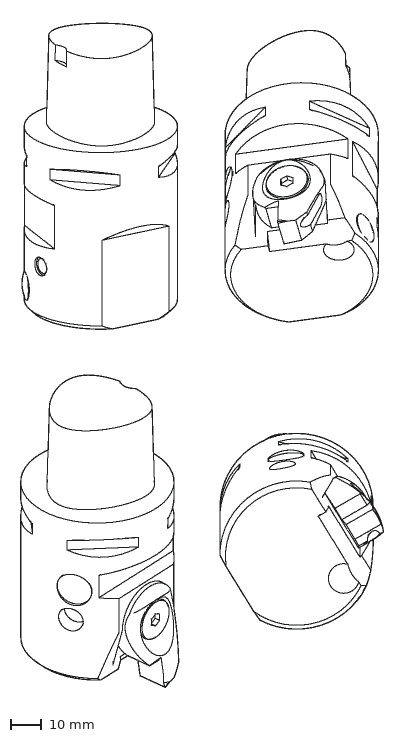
import cadquery as cq
import math


head_radius = 25.01
head_bottom = -62.0
bottom_chamfer = 1.8

shank_length = 30.0
shank_mean_radius = 17.5
shank_lobe = 1.4
taper_per_length = 1 / 40
shank_faces = 6
points_per_face = 7
key_radius = 5.0
key_center_y = -18.9
key_depth = 5.4

slot_z = -9.9
slot_floor = 22.1
slot_floor_height = 3.6
slot_wall_slope = math.tan(math.radians(28))

label_floor = 21.8
label_turn = 7.9
label_top = -20.3
label_bottom = -35.3
label_top_slope = math.tan(math.radians(15))
label_bottom_slope = math.tan(math.radians(15))

relief_x = -16.6
relief_top = -20.3
relief_bottom = -28.9
relief_top_slope = math.tan(math.radians(15))
relief_bottom_slope = math.tan(math.radians(13))
seat_flat_x = -20.9
back_slope = math.tan(math.radians(15))
toe_top = -55.8
toe_slope = math.tan(math.radians(36))
toe_wall_y = 8.1

plain_flat_x = 21.5
plain_flat_top = -30.4

seat_z = -43.1
seat_x = -16.9
seat_radius = 12.0
cap_radius = 11.9
cap_height = 1.7
plug_small_radius = 5.0
plug_large_radius = 6.0
plug_height = 1.1
plug_depth = 2.9
front_plug_turn = 21.7
front_plug_z = -53.8
front_plug_base = 24.9
rear_plug_turn = 22.5
rear_plug_base = 24.0
rear_plug_z = -26.7
bottom_plug_small_at = (-9.4, -14.2)
bottom_plug_large_at = (10.2, 13.6)

rear_hole_radius = 4.27
rear_hole_turn = 20
rear_hole_z = -38.4
rear_hole_depth = 5.8
nozzle_turn = 6.2
nozzle_radius = 3.12
nozzle_cone_radius = 2.5
nozzle_bore_radius = 0.5
nozzle_step_depth = 1.0
nozzle_cone_depth = 1.7
nozzle_bore_depth = 1.9

cutter_radius = 11.9
rim_top = seat_z + cutter_radius
rim_x = -22.5
crown_center_x = -10.6
crown_top = (-25.8, -34.4)
crown_foot = (-30.0, -61.3)
blade_y = 1.9
blade_flank_tilt = math.radians(15)
belly_radius = 19.3
shoulder_outer = (-29.2, -54.7)
shoulder_inner = (-27.8, -56.6)
heel_start = -48.0
heel_slope = math.tan(math.radians(9.5))
corner_top = -61.4
corner_low = (-3.9, -65.3)
tip_bottom = -66.0
tip_x = -30.77
tip_top = -64.4
tip_width = 3.8
tip_root = 1.9
tip_far_inset = 0.2
tip_far_top = -65.4
tip_far_bottom = -65.5
groove_radius = 2.35
groove_start = (-21.7, -50.8)
groove_tilt = 15.5
groove_offset = 0.6
groove_length = 24.0

screw_head_radius = 6.8
screw_face_x = -25.0
screw_head_bottom_x = -19.2
screw_shank_radius = 3.98
screw_end_x = -7.7
hex_diameter = 4.7
hex_depth = 1.9
bore_radius = 7.0
bore_cone_x = -24.4

overrun = 1.0
big = 96.0


def prism_xz(points, y_from, y_to):
    """A prism along Y with the given outline of (x, z) points."""
    prism = cq.Workplane("XZ", origin=(0, y_to, 0)).polyline(points).close()
    return prism.extrude(y_to - y_from)


def radial_plane(turn, distance, z):
    """A plane square to the outward direction `turn` degrees round from +X."""
    angle = math.radians(turn)
    outward = (math.cos(angle), math.sin(angle), 0)
    origin = (distance * outward[0], distance * outward[1], z)
    tangent = (-outward[1], outward[0], 0)
    return cq.Plane(origin=origin, xDir=tangent, normal=outward)


def domed_plug(plane, radius, height, depth):
    """A round plug set `depth` below the plane, with a spherical cap above it."""
    plug = cq.Workplane("XZ").moveTo(0, -depth).lineTo(radius, -depth).lineTo(radius, 0)
    sphere_radius = (radius ** 2 + height ** 2) / (2 * height)
    middle = radius / 2
    middle_height = height - sphere_radius + math.sqrt(sphere_radius ** 2 - middle ** 2)
    plug = plug.threePointArc((middle, middle_height), (0, height)).close()
    return plug.revolve(360, (0, 0, 0), (0, 1, 0)).val().moved(cq.Location(plane))


def shank_wire(mean_radius, z):
    """The three-lobed outline with one lobe toward +Y, as one spline per face."""
    def point(t):
        along = (mean_radius * math.cos(t) - shank_lobe * math.cos(2 * t)
                 + shank_lobe / 12 * math.cos(4 * t))
        across = (mean_radius * math.sin(t) + shank_lobe * math.sin(2 * t)
                  + shank_lobe / 12 * math.sin(4 * t))
        return cq.Vector(across, -along, z)

    face_angle = 2 * math.pi / shank_faces
    edges = []
    for face in range(shank_faces):
        start = (face + 0.5) * face_angle
        steps = [start + face_angle * i / (points_per_face - 1) for i in range(points_per_face)]
        edges.append(cq.Edge.makeSpline([point(t) for t in steps]))
    return cq.Wire.assembleEdges(edges)


def make_shank():
    top_radius = shank_mean_radius - shank_length * taper_per_length
    lower = shank_wire(shank_mean_radius, 0)
    upper = shank_wire(top_radius, shank_length)
    shank = cq.Workplane(cq.Solid.makeLoft([lower, upper], True))
    key = cq.Workplane(origin=(0, key_center_y, shank_length - key_depth))
    return shank.cut(key.circle(key_radius).extrude(key_depth))


def gripper_slot(turn):
    reach = head_radius - slot_floor + overrun
    half = slot_floor_height / 2
    outer_half = half + reach * slot_wall_slope
    outline = [(slot_floor, -half), (slot_floor + reach, -outer_half),
               (slot_floor + reach, outer_half), (slot_floor, half)]
    slot = prism_xz(outline, -big, big).translate((0, 0, slot_z))
    return slot.rotate((0, 0, 0), (0, 0, 1), turn)


def label_flat():
    reach = head_radius - label_floor + overrun
    outline = [(label_floor, label_top), (label_floor + reach, label_top + reach * label_top_slope),
               (label_floor + reach, label_bottom - reach * label_bottom_slope),
               (label_floor, label_bottom)]
    return prism_xz(outline, -big, big).rotate((0, 0, 0), (0, 0, 1), -90 - label_turn)


def seat_side_cut():
    """Relief groove, seat flat and the slope below it, as one cut right across the -X side."""
    reach = big + relief_x
    flat_step = relief_x - seat_flat_x
    outline = [(-big, relief_top + reach * relief_top_slope), (relief_x, relief_top),
               (relief_x, relief_bottom),
               (seat_flat_x, relief_bottom - flat_step * relief_bottom_slope),
               (seat_flat_x, seat_z),
               (seat_flat_x + (big + seat_z) * back_slope, -big), (-big, -big)]
    return prism_xz(outline, -big, big)


def toe_cut():
    """Steeper slope at the foot of the seat side, ending at an upright wall."""
    toe_x = seat_flat_x + (seat_z - toe_top) * back_slope
    outline = [(toe_x, toe_top), (toe_x + (big + toe_top) * toe_slope, -big), (-big, -big),
               (-big, toe_top)]
    return prism_xz(outline, -big, toe_wall_y)


def plain_side_cut():
    reach = big - plain_flat_x
    outline = [(plain_flat_x, plain_flat_top), (big, plain_flat_top + reach), (big, -big),
               (plain_flat_x, -big)]
    return prism_xz(outline, -big, big)


def cutter_seat():
    """Slot with a round upper end, open at the bottom."""
    plane = cq.Plane(origin=(seat_x, 0, seat_z), xDir=(0, -1, 0), normal=(-1, 0, 0))
    slot = cq.Workplane(plane).moveTo(-seat_radius, -big).lineTo(-seat_radius, 0)
    slot = slot.threePointArc((0, seat_radius), (seat_radius, 0)).lineTo(seat_radius, -big)
    return slot.close().extrude(big)


def nozzle_recess():
    floor = head_radius - nozzle_step_depth
    plane = radial_plane(-90 + nozzle_turn, floor, seat_z)
    mouth = nozzle_step_depth + overrun
    bore_end = nozzle_cone_depth + nozzle_bore_depth
    profile = [(0, mouth), (nozzle_radius, mouth), (nozzle_radius, 0), (nozzle_cone_radius, 0),
               (nozzle_bore_radius, -nozzle_cone_depth),
               (nozzle_bore_radius, -bore_end), (0, -bore_end)]
    recess = cq.Workplane("XZ").polyline(profile).close().revolve(360, (0, 0, 0), (0, 1, 0))
    return recess.val().moved(cq.Location(plane))


def side_plug(turn, distance, z, radius):
    return domed_plug(radial_plane(turn, distance, z), radius, plug_height, plug_depth)


def bottom_plug(center, radius):
    plane = cq.Plane(origin=(*center, head_bottom), xDir=(1, 0, 0), normal=(0, 0, -1))
    return domed_plug(plane, radius, plug_height, plug_depth)


def make_head():
    head = cq.Workplane().circle(head_radius).extrude(head_bottom).faces("<Z").chamfer(bottom_chamfer)
    for quarter in range(4):
        head = head.cut(gripper_slot(45 + 90 * quarter))
    head = head.cut(label_flat()).cut(plain_side_cut())
    head = head.union(bottom_plug(bottom_plug_small_at, plug_small_radius))
    head = head.union(bottom_plug(bottom_plug_large_at, plug_large_radius))
    head = head.cut(seat_side_cut()).cut(toe_cut()).cut(cutter_seat())
    head = head.union(side_plug(-90 - front_plug_turn, front_plug_base, front_plug_z, plug_small_radius))
    rear_recess = radial_plane(90 + rear_plug_turn, rear_plug_base, rear_plug_z)
    head = head.cut(cq.Workplane(rear_recess).circle(plug_large_radius).extrude(big))
    head = head.union(side_plug(90 + rear_plug_turn, rear_plug_base, rear_plug_z, plug_large_radius))
    cap_plane = radial_plane(0, plain_flat_x, seat_z)
    head = head.union(domed_plug(cap_plane, cap_radius, cap_height, plug_depth))
    rear_plane = radial_plane(90 + rear_hole_turn, head_radius - rear_hole_depth, rear_hole_z)
    head = head.cut(cq.Workplane(rear_plane).circle(rear_hole_radius).extrude(big))
    head = head.cut(nozzle_recess())
    head = head.cut(screw_solid())
    return head.union(make_shank())


def about_seat_axis(profile):
    """Revolves (x, radius) points about the axis of the cutter screw, which runs along X."""
    turned = cq.Workplane("XY").polyline(profile).close().revolve(360, (0, 0, 0), (1, 0, 0))
    return turned.translate((0, 0, seat_z))


def cutter_outline():
    """Cutter seen along X: round top, bulged side, stepped shoulder and a blade with a cut corner."""
    tangent_y = -cutter_radius * math.cos(blade_flank_tilt)
    tangent_z = seat_z - cutter_radius * math.sin(blade_flank_tilt)
    corner_y = tangent_y + (tangent_z - corner_top) * math.tan(blade_flank_tilt)
    belly_center_y = cutter_radius - belly_radius
    shoulder_z = shoulder_inner[1]
    belly_end_y = belly_center_y + math.sqrt(belly_radius ** 2 - (shoulder_z - seat_z) ** 2)
    half_drop = (shoulder_z - seat_z) / 2
    belly_middle_y = belly_center_y + math.sqrt(belly_radius ** 2 - half_drop ** 2)
    outline = cq.Workplane("YZ").moveTo(cutter_radius, seat_z)
    outline = outline.threePointArc((0, seat_z + cutter_radius), (-cutter_radius, seat_z))
    round_angle = blade_flank_tilt / 2
    round_middle = (-cutter_radius * math.cos(round_angle),
                    seat_z - cutter_radius * math.sin(round_angle))
    outline = outline.threePointArc(round_middle, (tangent_y, tangent_z))
    outline = outline.lineTo(corner_y, corner_top).lineTo(*corner_low).lineTo(blade_y, tip_bottom)
    outline = outline.lineTo(blade_y, shoulder_z).lineTo(belly_end_y, shoulder_z)
    outline = outline.threePointArc((belly_middle_y, seat_z + half_drop), (cutter_radius, seat_z))
    return outline.close().extrude(-big)


def crown_envelope():
    """Body turned about a vertical axis; its conical skin is the outer face of the cutter."""
    top_radius = crown_center_x - crown_top[0]
    foot_radius = crown_center_x - crown_foot[0]
    crown_rise = rim_top - crown_top[1]
    above_radius = top_radius - crown_rise * (foot_radius - top_radius) / (crown_top[1] - crown_foot[1])
    profile = [(0, rim_top), (above_radius, rim_top), (foot_radius, crown_foot[1]),
               (foot_radius, tip_bottom), (0, tip_bottom)]
    crown = cq.Workplane("XZ").polyline(profile).close().revolve(360, (0, 0, 0), (0, 1, 0))
    return crown.translate((crown_center_x, 0, 0))


def cutting_tip():
    """Pointed wedge on the blade's cutting edge that shrinks away from the edge."""
    root_x = crown_foot[0] + tip_root
    edge_end = [(root_x, tip_top), (crown_foot[0], tip_top), (tip_x, tip_bottom), (root_x, tip_bottom)]
    far_x = crown_foot[0] + tip_far_inset
    far_end = [(root_x, tip_far_top), (far_x, tip_far_top), (far_x, tip_far_bottom),
               (root_x, tip_far_bottom)]

    def section(points, y):
        corners = [cq.Vector(x, y, z) for x, z in points]
        return cq.Wire.makePolygon(corners, close=True)

    return cq.Workplane(cq.Solid.makeLoft([section(edge_end, blade_y),
                                           section(far_end, blade_y - tip_width)], True))


def shoulder_cut():
    outline = [shoulder_outer, shoulder_inner, (shoulder_inner[0], -big), (-big, -big),
               (-big, shoulder_outer[1])]
    return prism_xz(outline, blade_y, big)


def heel_cut():
    """Clearance behind the blade."""
    outline = [(seat_x, heel_start), (seat_x - (big + heel_start) * heel_slope, -big), (seat_x, -big)]
    return prism_xz(outline, -big, big)


def flank_groove():
    """Round-ended chip groove along the tilted flank of the blade."""
    groove = cq.Workplane().circle(groove_radius).extrude(-groove_length)
    groove = groove.union(cq.Workplane().sphere(groove_radius))
    groove = groove.rotate((0, 0, 0), (0, 1, 0), groove_tilt)
    groove = groove.rotate((0, 0, 0), (1, 0, 0), math.degrees(blade_flank_tilt))
    x, z = groove_start
    flank_y = -(cutter_radius - (seat_z - z) * math.sin(blade_flank_tilt)) / math.cos(blade_flank_tilt)
    return groove.translate((x, flank_y - groove_offset, z))


def make_cutter():
    cutter = cutter_outline().intersect(crown_envelope()).union(cutting_tip())
    rim_cone = about_seat_axis([(rim_x, cutter_radius), (rim_x - cutter_radius, 0),
                                (rim_x - cutter_radius, big), (rim_x, big)])
    upper_half = cq.Workplane(origin=(0, 0, seat_z)).box(big, big, big, centered=(True, True, False))
    cutter = cutter.cut(rim_cone.intersect(upper_half))
    front = cq.Workplane(origin=(seat_x, 0, seat_z)).box(big, big, big, centered=(False, True, True))
    cutter = cutter.cut(front).cut(heel_cut()).cut(shoulder_cut()).cut(flank_groove())
    countersink = cutter_radius
    bore = about_seat_axis([(screw_head_bottom_x, 0), (screw_head_bottom_x, bore_radius),
                            (bore_cone_x, bore_radius),
                            (bore_cone_x - countersink, bore_radius + countersink),
                            (bore_cone_x - countersink, 0)])
    return cutter.cut(bore).cut(screw_solid())


def screw_solid():
    return about_seat_axis([(screw_face_x, 0), (screw_face_x, screw_head_radius),
                            (screw_head_bottom_x, screw_head_radius),
                            (screw_head_bottom_x, screw_shank_radius),
                            (screw_end_x, screw_shank_radius), (screw_end_x, 0)])


def make_screw():
    plane = cq.Plane(origin=(screw_face_x, 0, seat_z), xDir=(0, 0, 1), normal=(-1, 0, 0))
    socket = cq.Workplane(plane).polygon(6, hex_diameter).extrude(-hex_depth)
    return screw_solid().cut(socket)


head = make_head()
cutter = make_cutter()
screw = make_screw()
result = cq.Compound.makeCompound([head.val(), cutter.val(), screw.val()])